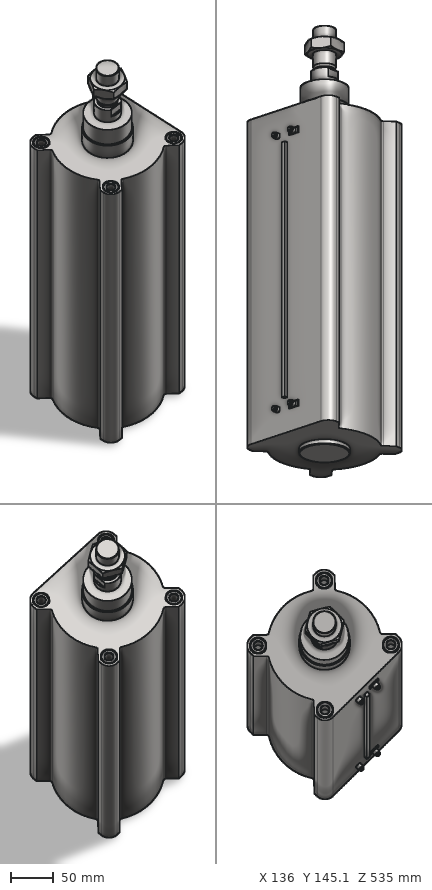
import cadquery as cq
import math

body_length = 410.0
body_radius = 67.0
lug_offset = 55.0
lug_radius = 13.0
lug_edge = lug_offset + lug_radius
lug_flank_start = 49.9
valley_fillet = 3.0

recess_dia = 19.6
recess_depth = 4.0
tie_nut_dia = 18.0
tie_nut_drop = 0.5
tie_nut_chamfer = 0.4
tie_hole_dia = 10.11
tie_hole_depth = 20.0
tie_hole_mouth_dia = 11.4
tie_hole_chamfer = (tie_hole_mouth_dia - tie_hole_dia) / 2

collar_dia = 60.0
front_collar_height = 21.2
rear_collar_height = 6.0
collar_chamfer = 1.0
gland_dia = 57.0
gland_top = body_length + 45.0

rail_width = 5.0
rail_height = 4.4
rail_length = 322.0

fitting_x = 13.0
fitting_inset = 32.4
fitting_dia = 7.4
fitting_body_height = 4.7
fitting_tip_dia = 5.78
fitting_tip_height = 3.1
fitting_tip_chamfer = 0.8
valve_plate_length = 14.5
valve_plate_height = 1.3

rod_dia = 32.0
rod_shoulder = body_length + 65.0
thread_dia = 27.0
thread_length = 54.0
rod_top = rod_shoulder + thread_length
neck_dia = 24.3
neck_length = 3.2
thread_runout = 3.2
thread_tip_chamfer = 0.6
rod_flat_width = 27.0
rod_flat_length = 11.0

lock_nut_width = 41.0
lock_nut_height = 14.5
lock_nut_top_gap = 16.6
lock_nut_bottom = rod_top - lock_nut_top_gap - lock_nut_height
lock_nut_corner_dia = lock_nut_width / math.cos(math.radians(30))
lock_nut_corner_bevel = 1.8
lock_nut_face_dia = 40.5


def cylinder(diameter, bottom, height):
    return cq.Workplane("XY").workplane(offset=bottom).circle(diameter / 2).extrude(height)


def back_cylinder(diameter, x, y, z, height):
    """Cylinder pointing along +Y from the given base centre."""
    base = cq.Vector(x, y, z)
    return cq.Workplane(cq.Solid.makeCylinder(diameter / 2, height, base, cq.Vector(0, 1, 0)))


def lug(x_sign, y_sign):
    """Lug with a rounded outer corner and 45 degree flanks, widened into a web from the axis."""
    corner_mid = lug_offset + lug_radius * math.sqrt(0.5)
    root = lug_edge - lug_flank_start

    def at(x, y):
        return (x_sign * x, y_sign * y)

    return (
        cq.Workplane("XY")
        .moveTo(*at(root, 0))
        .lineTo(*at(lug_edge, lug_flank_start))
        .lineTo(*at(lug_edge, lug_offset))
        .threePointArc(at(corner_mid, corner_mid), at(lug_offset, lug_edge))
        .lineTo(*at(lug_flank_start, lug_edge))
        .lineTo(*at(0, root))
        .close()
        .extrude(body_length)
    )


def on_round_body(edge):
    center = edge.Center()
    return math.isclose(math.hypot(center.x, center.y), body_radius, rel_tol=1e-4)


def build_barrel():
    barrel = cylinder(2 * body_radius, 0, body_length)
    for x_sign in (-1, 1):
        for y_sign in (-1, 1):
            barrel = barrel.union(lug(x_sign, y_sign))
    barrel = barrel.edges("|Z").filter(on_round_body).fillet(valley_fillet)
    back = cq.Workplane("XY").box(2 * lug_offset, lug_edge, body_length, centered=(True, False, False))
    return barrel.union(back)


def tie_nut_cutter():
    """Space around and inside one tie-rod nut, to be cut down from the front face."""
    nut_top = body_length - tie_nut_drop
    recess = cylinder(recess_dia, body_length - recess_depth, recess_depth)
    nut = cylinder(tie_nut_dia, body_length - recess_depth, recess_depth - tie_nut_drop)
    nut = nut.faces(">Z").chamfer(tie_nut_chamfer)
    hole = cylinder(tie_hole_dia, nut_top - tie_hole_depth, tie_hole_depth)
    mouth_base = cq.Vector(0, 0, nut_top - tie_hole_chamfer)
    mouth = cq.Solid.makeCone(tie_hole_dia / 2, tie_hole_mouth_dia / 2, tie_hole_chamfer, mouth_base)
    return recess.cut(nut).union(hole).union(cq.Workplane(mouth))


def build_collars():
    front = cylinder(collar_dia, body_length, front_collar_height).faces(">Z").chamfer(collar_chamfer)
    gland = cylinder(gland_dia, body_length, gland_top - body_length)
    rear = cylinder(collar_dia, -rear_collar_height, rear_collar_height).faces("<Z").chamfer(collar_chamfer)
    return front.union(gland), rear


def build_fitting(x, z, base_y):
    body = back_cylinder(fitting_dia, x, lug_edge, z, base_y + fitting_body_height - lug_edge)
    tip = back_cylinder(fitting_tip_dia, x, base_y, z, fitting_body_height + fitting_tip_height)
    tip = tip.faces(">Y").chamfer(fitting_tip_chamfer)
    return body.union(tip)


def build_valve_plate(z):
    plate = cq.Workplane("XY").box(
        valve_plate_length, valve_plate_height, fitting_dia, centered=(True, False, True)
    )
    return plate.translate((-fitting_x, lug_edge, z))


def build_housing():
    housing = build_barrel()
    for collar in build_collars():
        housing = housing.union(collar)
    rail = cq.Workplane("XY").box(rail_width, rail_height, rail_length, centered=(True, False, True))
    housing = housing.union(rail.translate((0, lug_edge, body_length / 2)))
    for z in (fitting_inset, body_length - fitting_inset):
        housing = housing.union(build_valve_plate(z))
        housing = housing.union(build_fitting(-fitting_x, z, lug_edge + valve_plate_height))
        housing = housing.union(build_fitting(fitting_x, z, lug_edge))
    for x in (-lug_offset, lug_offset):
        for y in (-lug_offset, lug_offset):
            housing = housing.cut(tie_nut_cutter().translate((x, y, 0)))
    return housing.cut(cylinder(rod_dia, body_length, gland_top - body_length))


def build_rod():
    thread_end = rod_shoulder + neck_length
    rod = (
        cq.Workplane("XZ")
        .moveTo(0, body_length)
        .lineTo(rod_dia / 2, body_length)
        .lineTo(rod_dia / 2, rod_shoulder)
        .lineTo(neck_dia / 2, rod_shoulder)
        .lineTo(neck_dia / 2, thread_end)
        .lineTo(thread_dia / 2, thread_end + thread_runout)
        .lineTo(thread_dia / 2, rod_top - thread_tip_chamfer)
        .lineTo(thread_dia / 2 - thread_tip_chamfer, rod_top)
        .lineTo(0, rod_top)
        .close()
        .revolve(360, (0, 0, 0), (0, 1, 0))
    )
    for side in (-1, 1):
        flat_cut = cq.Workplane("XY").box(rod_dia, rod_dia, rod_flat_length)
        cut_x = side * (rod_flat_width + rod_dia) / 2
        rod = rod.cut(flat_cut.translate((cut_x, 0, rod_shoulder - rod_flat_length / 2)))
    return rod


def build_lock_nut():
    """Hexagon nut with flats facing -X and +X and corners turned down at both ends."""
    hexagon = (
        cq.Workplane("XY")
        .workplane(offset=lock_nut_bottom)
        .transformed(rotate=(0, 0, 30))
        .polygon(6, lock_nut_corner_dia)
        .extrude(lock_nut_height)
    )
    bevel_width = (lock_nut_corner_dia - lock_nut_face_dia) / 2
    turned = cylinder(lock_nut_corner_dia, lock_nut_bottom, lock_nut_height)
    turned = turned.edges().chamfer(lock_nut_corner_bevel, bevel_width)
    return hexagon.intersect(turned).cut(cylinder(thread_dia, lock_nut_bottom, lock_nut_height))


housing = build_housing()
rod = build_rod()
lock_nut = build_lock_nut()

result = cq.Compound.makeCompound([housing.val(), rod.val(), lock_nut.val()])